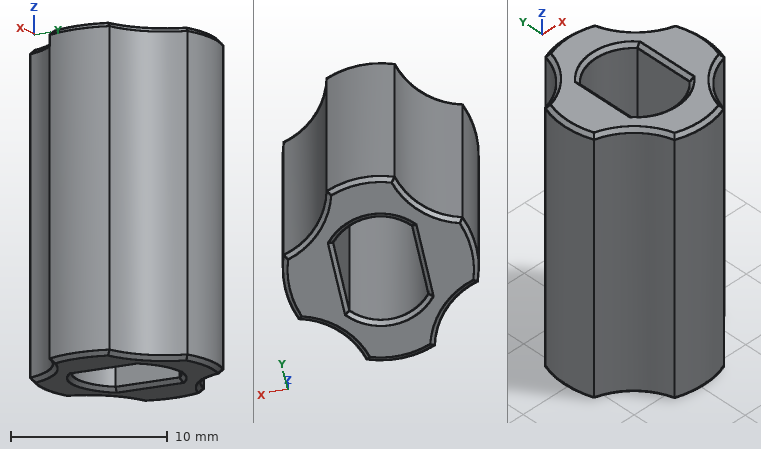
import cadquery as cq
import math

length = 21.88
outer_diameter = 12.5
edge_chamfer = 0.3

flute_count = 4
flute_radius = 5.0
flute_depth = 1.25
flute_offset = outer_diameter / 2 - flute_depth + flute_radius

bore_diameter = 7.0
bore_across_flats = 5.16


def fluted_body():
    """Round bar with the flutes cut along its full length."""
    body = cq.Workplane("XY").circle(outer_diameter / 2).extrude(length)
    flutes = (
        cq.Workplane("XY")
        .polarArray(flute_offset, 180 / flute_count, 360, flute_count)
        .circle(flute_radius)
        .extrude(length)
    )
    return body.cut(flutes)


def double_d_bore():
    """Double-D bore running the full length of the body."""
    half_flat = bore_across_flats / 2
    bore_radius = bore_diameter / 2
    corner_height = math.sqrt(bore_radius**2 - half_flat**2)
    return (
        cq.Workplane("XY")
        .moveTo(half_flat, -corner_height)
        .lineTo(half_flat, corner_height)
        .threePointArc((0, bore_radius), (-half_flat, corner_height))
        .lineTo(-half_flat, -corner_height)
        .threePointArc((0, -bore_radius), (half_flat, -corner_height))
        .close()
        .extrude(length)
    )


result = fluted_body().cut(double_d_bore()).faces("<Z or >Z").chamfer(edge_chamfer)